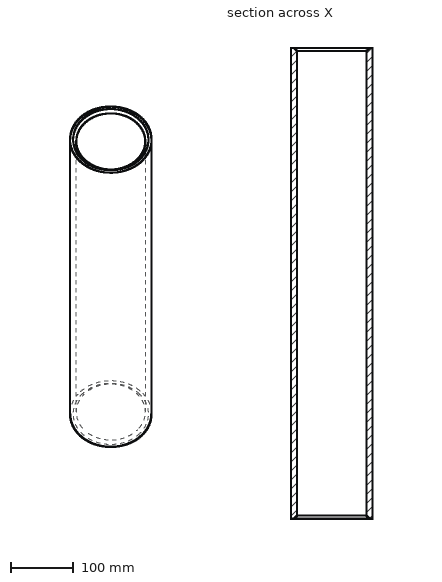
import cadquery as cq

outer_diameter = 130.0
inner_diameter = 110.0
length = 750.0
bore_chamfer = 5.0


def make_tube():
    return (
        cq.Workplane("XY")
        .circle(outer_diameter / 2)
        .circle(inner_diameter / 2)
        .extrude(length)
    )


def chamfer_bore_mouths(tube):
    smallest_circles = cq.selectors.RadiusNthSelector(0)
    return tube.faces("<Z or >Z").edges(smallest_circles).chamfer(bore_chamfer)


result = chamfer_bore_mouths(make_tube())